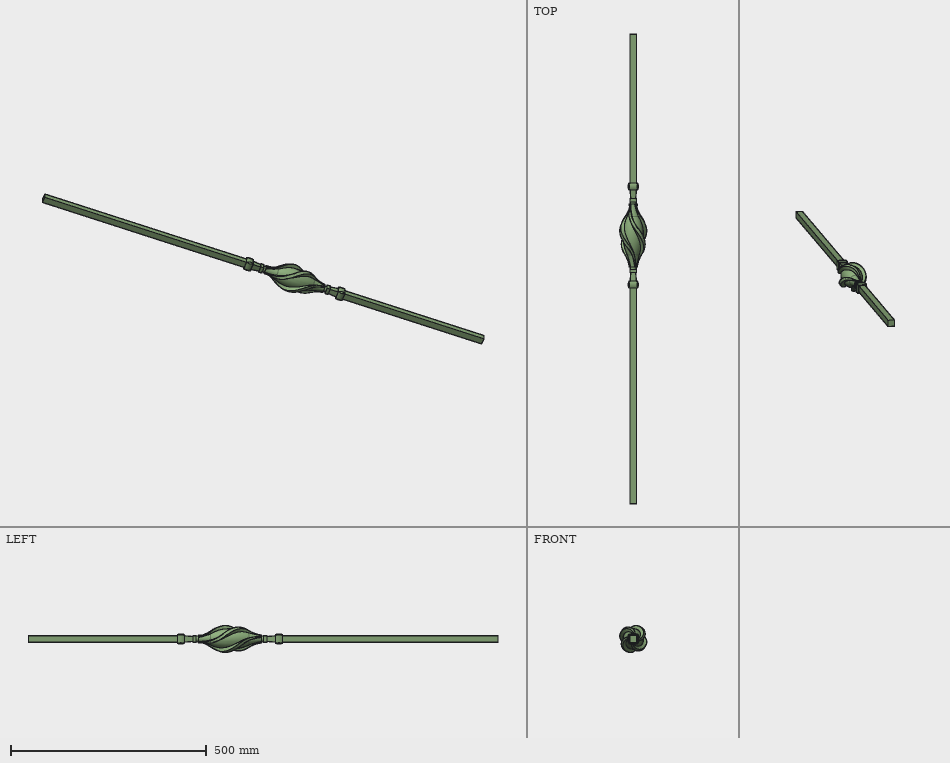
import cadquery as cq
import math

bar_length = 1200.0
bar_side = 17.0
core_diameter = 15.0

bulb_centre = 85.0
bulb_half_length = 80.0
block_inner = 86.0
block_outer = 95.0
collar_inner = 116.0

neck_end_side = 13.0

collar_length = 18.0
collar_side = 22.0
collar_bulge = 2.0
collar_width = collar_side + 2 * collar_bulge
collar_chamfer = 4.0

barrel_radius = 26.0
shoulder_distance = 49.0
shoulder_radius = 15.0
flare_middle_radius = 11.4
bulb_end_radius = 9.0

crossed_bars = 2
ridge_radius = 36.0
ridge_shoulder_radius = 21.0
ridge_end_radius = 11.4
ridge_width = 11.0
ridge_middle_angle = 56.0
ridge_twist = 180.0
sections_per_stretch = 9


def square_block(side, y_start, y_end):
    return cq.Workplane("XZ", origin=(0, y_start, 0)).rect(side, side).extrude(y_start - y_end)


def bar_arm(direction):
    """Plain block, tapered neck and long square bar on one side of the bulb."""
    inner = bulb_centre + direction * block_inner
    outer = bulb_centre + direction * block_outer
    neck_start = bulb_centre + direction * collar_inner
    neck = (
        cq.Workplane("XZ", origin=(0, neck_start, 0))
        .rect(bar_side, bar_side)
        .workplane(offset=neck_start - outer)
        .rect(neck_end_side, neck_end_side)
        .loft(ruled=True)
    )
    end = square_block(bar_side, neck_start, direction * bar_length / 2)
    return square_block(bar_side, inner, outer).union(neck).union(end)


def round_core(half_length):
    return (
        cq.Workplane("XZ", origin=(0, bulb_centre + half_length, 0))
        .circle(core_diameter / 2)
        .extrude(2 * half_length)
    )


def make_bar():
    return round_core(block_inner).union(bar_arm(1)).union(bar_arm(-1))


def make_collar(direction):
    """Square ring with chamfered edges whose four sides bulge along the bar."""
    centre = bulb_centre + direction * (collar_inner + collar_length / 2)
    half_side = collar_side / 2
    half_length = collar_length / 2

    def barrel(plane):
        return (
            cq.Workplane(plane, origin=(0, centre, 0))
            .moveTo(half_side, -half_length)
            .threePointArc((half_side + collar_bulge, 0), (half_side, half_length))
            .lineTo(-half_side, half_length)
            .threePointArc((-half_side - collar_bulge, 0), (-half_side, -half_length))
            .close()
            .extrude(collar_side, both=True)
        )

    outside = (
        cq.Workplane("XZ", origin=(0, centre + half_length, 0))
        .rect(collar_width, collar_width)
        .extrude(collar_length)
        .edges("|Y")
        .chamfer(collar_chamfer)
    )
    hole = square_block(bar_side, centre - half_length, centre + half_length)
    return outside.intersect(barrel("XY")).intersect(barrel("ZY")).cut(hole)


def make_bulb_body():
    flare_middle = (shoulder_distance + bulb_half_length) / 2
    return (
        cq.Workplane("XY", origin=(0, bulb_centre, 0))
        .moveTo(0, -bulb_half_length)
        .lineTo(bulb_end_radius, -bulb_half_length)
        .threePointArc((flare_middle_radius, -flare_middle), (shoulder_radius, -shoulder_distance))
        .threePointArc((barrel_radius, 0), (shoulder_radius, shoulder_distance))
        .threePointArc((flare_middle_radius, flare_middle), (bulb_end_radius, bulb_half_length))
        .lineTo(0, bulb_half_length)
        .close()
        .revolve(360, (0, 0, 0), (0, 1, 0))
    )


def ridge_profile(distance):
    """Radius of the ridge tops at a distance from the bulb middle."""
    span = abs(distance)
    if span <= shoulder_distance:
        drop = ridge_radius - ridge_shoulder_radius
        return ridge_radius - drop * (span / shoulder_distance) ** 2
    rise = ridge_shoulder_radius - ridge_end_radius
    share = (bulb_half_length - span) / (bulb_half_length - shoulder_distance)
    return ridge_end_radius + rise * share**2


def crossed_bar_section(distance, angle):
    """Rectangle across the bulb axis whose width shrinks with its length."""
    half_length = ridge_profile(distance)
    half_width = ridge_width / 2 * half_length / ridge_radius
    turn = math.radians(angle + ridge_twist * distance / (2 * bulb_half_length))
    corners = []
    for along, across in ((1, -1), (1, 1), (-1, 1), (-1, -1)):
        x = along * half_length * math.cos(turn) - across * half_width * math.sin(turn)
        z = along * half_length * math.sin(turn) + across * half_width * math.cos(turn)
        corners.append(cq.Vector(x, bulb_centre + distance, z))
    return cq.Wire.makePolygon(corners, close=True)


def crossed_bar_stretch(start, end, angle):
    step = (end - start) / (sections_per_stretch - 1)
    sections = [crossed_bar_section(start + i * step, angle) for i in range(sections_per_stretch)]
    return cq.Workplane(cq.Solid.makeLoft(sections))


def make_bulb():
    bulb = make_bulb_body()
    stops = (-bulb_half_length, -shoulder_distance, shoulder_distance, bulb_half_length)
    for i in range(crossed_bars):
        angle = ridge_middle_angle + i * 180 / crossed_bars
        for start, end in zip(stops, stops[1:]):
            bulb = bulb.union(crossed_bar_stretch(start, end, angle))
    return bulb.cut(round_core(bulb_half_length))


bar = make_bar()
bulb = make_bulb()
collars = [make_collar(direction) for direction in (1, -1)]

result = cq.Compound.makeCompound([bar.val(), bulb.val(), *[collar.val() for collar in collars]])